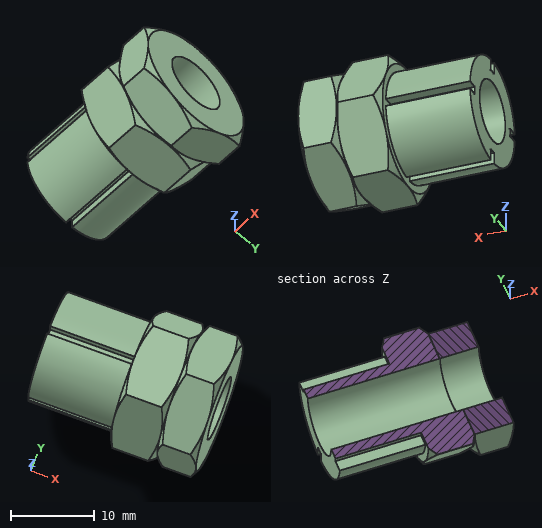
import cadquery as cq
import math

total_length = 22.0
sleeve_length = 11.0
sleeve_diameter = 14.0
bore_diameter = 8.0
slot_width = 1.0
slot_depth = 1.5
slot_count = 4
across_flats = 16.0
collar_length = 6.0
chamfer_angle = 30.0

nut_start = sleeve_length + collar_length
nut_length = total_length - nut_start
across_corners = across_flats / math.cos(math.radians(30))
corner_radius = across_corners / 2
flat_radius = across_flats / 2
chamfer_length = (corner_radius - flat_radius) * math.tan(math.radians(chamfer_angle))


def cylinder(start, length, diameter):
    """Cylinder along X."""
    return cq.Workplane("YZ", origin=(start, 0, 0)).circle(diameter / 2).extrude(length)


def chamfered_hexagon(start, length, turn):
    """Hexagonal prism along X with conically chamfered corners at both ends.

    With no turn, two corners point along Y.
    """
    end = start + length
    prism = cq.Workplane("YZ", origin=(start, 0, 0)).polygon(6, across_corners).extrude(length)
    prism = prism.rotate((0, 0, 0), (1, 0, 0), turn)
    chamfer_envelope = (
        cq.Workplane("XY")
        .moveTo(start, 0)
        .lineTo(start, flat_radius)
        .lineTo(start + chamfer_length, corner_radius)
        .lineTo(end - chamfer_length, corner_radius)
        .lineTo(end, flat_radius)
        .lineTo(end, 0)
        .close()
        .revolve(360, (0, 0, 0), (1, 0, 0))
    )
    return prism.intersect(chamfer_envelope)


def slotted_sleeve():
    """Round sleeve with lengthwise slots spaced evenly around its outside."""
    sleeve = cylinder(0, sleeve_length, sleeve_diameter)
    slot_floor = sleeve_diameter / 2 - slot_depth
    slot = cq.Workplane("XY").box(
        sleeve_length, slot_width, 2 * slot_depth, centered=(False, True, False)
    ).translate((0, 0, slot_floor))
    for index in range(slot_count):
        sleeve = sleeve.cut(slot.rotate((0, 0, 0), (1, 0, 0), index * 360 / slot_count))
    return sleeve


def make_body():
    """Slotted sleeve with a hexagonal collar, bored through."""
    collar = chamfered_hexagon(sleeve_length, collar_length, 0)
    return slotted_sleeve().union(collar).cut(cylinder(0, nut_start, bore_diameter))


def make_nut():
    """Hexagonal nut against the collar, turned so that two corners point along Z."""
    nut = chamfered_hexagon(nut_start, nut_length, 90)
    return nut.cut(cylinder(nut_start, nut_length, bore_diameter))


body = make_body()
nut = make_nut()
result = cq.Compound.makeCompound([body.val(), nut.val()])